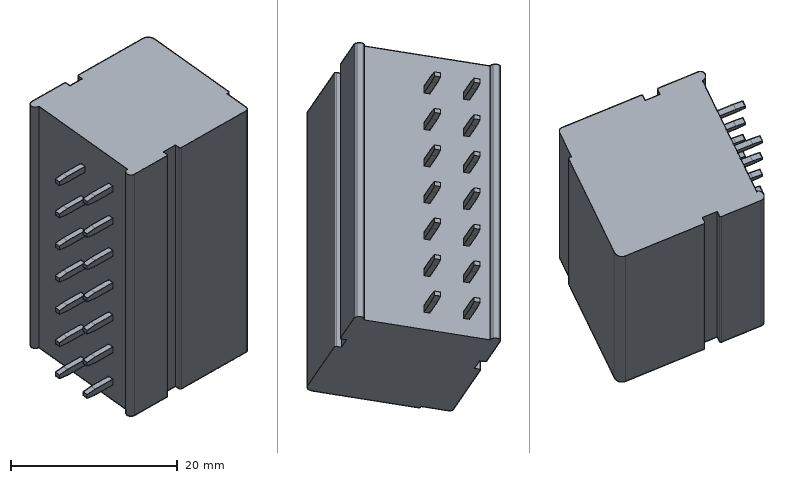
import cadquery as cq

height = 37.5
width = 18.5
body_depth = 19.5
foot_radius = 0.65
back_step_depth = 0.4
back_step_width = 3.95
back_step_radius = 0.2
back_left_radius = 1.0
back_right_radius = 0.5

groove_back_distance = 11.5
groove_width = 1.95
groove_depth = 0.82
groove_edge_radius = 0.2

pin_rows = 7
pin_row_span = 30.0
pin_pitch = pin_row_span / (pin_rows - 1)
left_pin_x = -0.05
pin_column_xs = (left_pin_x, left_pin_x + pin_pitch)
first_row_drop = 4.7
pin_width = 0.75
pin_thickness = 0.9
pin_tip_thickness = 0.55
pin_taper_length = 1.28
pin_embedment = 0.38
overall_depth = 23.0

left_x = -width / 2
right_x = width / 2
back_y = body_depth
front_face_y = foot_radius
pin_end_y = body_depth - overall_depth
pin_root_y = front_face_y + pin_embedment


def make_housing():
    """Extrude the outline: rounded feet at the front, shallow step at the back."""
    step_x = right_x - back_step_width
    foot_width = 2 * foot_radius
    block = (
        cq.Workplane("XY")
        .moveTo(left_x, front_face_y)
        .threePointArc((left_x + foot_radius, 0), (left_x + foot_width, front_face_y))
        .lineTo(right_x - foot_width, front_face_y)
        .threePointArc((right_x - foot_radius, 0), (right_x, front_face_y))
        .lineTo(right_x, back_y - back_step_depth)
        .lineTo(step_x, back_y - back_step_depth)
        .lineTo(step_x, back_y)
        .lineTo(left_x, back_y)
        .close()
        .extrude(height)
    )
    rounded_corners = (
        (left_x, back_y, back_left_radius),
        (step_x, back_y, back_step_radius),
        (right_x, back_y - back_step_depth, back_right_radius),
    )
    for x, y, radius in rounded_corners:
        block = round_vertical_edge(block, x, y, radius)
    return block


def round_vertical_edge(solid, x, y, radius):
    """Fillet the full-height edge that stands at (x, y)."""
    edge_finder = cq.selectors.NearestToPointSelector((x, y, height / 2))
    return solid.edges("|Z").edges(edge_finder).fillet(radius)


def cut_groove(solid, side_x):
    """Cut one full-height side groove and round its two outer edges."""
    back_wall_y = back_y - groove_back_distance
    front_wall_y = back_wall_y - groove_width
    cutter = (
        cq.Workplane("XY")
        .center(side_x, (back_wall_y + front_wall_y) / 2)
        .rect(2 * groove_depth, groove_width)
        .extrude(height)
    )
    solid = solid.cut(cutter)
    for wall_y in (back_wall_y, front_wall_y):
        solid = round_vertical_edge(solid, side_x, wall_y, groove_edge_radius)
    return solid


def make_pin(x, z):
    """A flat-sided pin along -Y whose upper and lower faces taper to the tip."""
    half = pin_thickness / 2
    half_tip = pin_tip_thickness / 2
    taper_start_y = pin_end_y + pin_taper_length
    side_outline = [
        (pin_root_y, z - half),
        (taper_start_y, z - half),
        (pin_end_y, z - half_tip),
        (pin_end_y, z + half_tip),
        (taper_start_y, z + half),
        (pin_root_y, z + half),
    ]
    return (
        cq.Workplane("YZ", origin=(x, 0, 0))
        .polyline(side_outline)
        .close()
        .extrude(pin_width / 2, both=True)
    )


result = make_housing()
for groove_x in (left_x, right_x):
    result = cut_groove(result, groove_x)
for row in range(pin_rows):
    for column_x in pin_column_xs:
        result = result.union(make_pin(column_x, height - first_row_drop - row * pin_pitch))